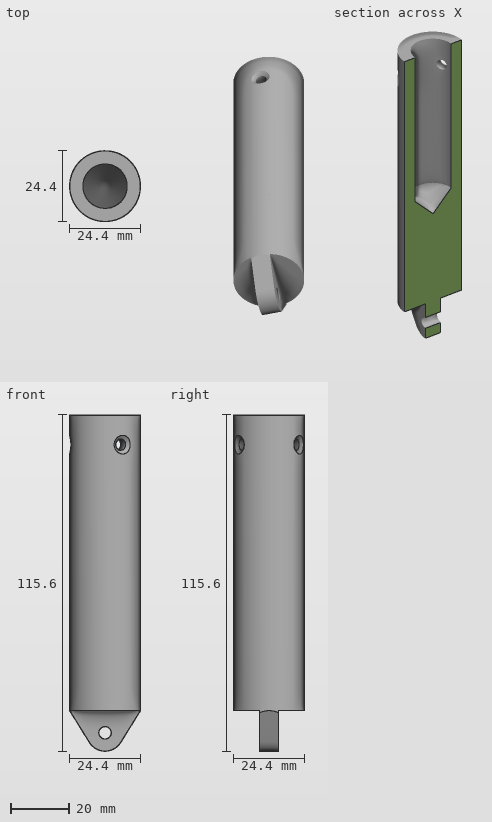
import cadquery as cq
import math

tube_diameter = 24.38
tube_radius = tube_diameter / 2
overall_length = 115.57
tab_length = 13.97
tube_length = overall_length - tab_length

bore_diameter = 15.24
bore_radius = bore_diameter / 2
bore_depth = 58.42
drill_point_angle = 90
drill_point_depth = bore_radius / math.tan(math.radians(drill_point_angle / 2))

screw_hole_diameter = 3.86
mouth_chamfer = 1.27
screw_hole_drop = 10.16
screw_hole_count = 3
first_screw_angle = 180

tab_thickness = 6.6
tab_tip_radius = 6.35
eye_diameter = 4.19
eye_drop = tab_length - tab_tip_radius


def make_tube():
    return cq.Workplane("XY").circle(tube_radius).extrude(tube_length)


def make_tab():
    """Rounded tab whose straight sides run from the tube wall tangent to the tip arc."""
    corner_to_eye = math.hypot(tube_radius, eye_drop)
    side_tilt = math.atan2(tube_radius, eye_drop) - math.asin(tab_tip_radius / corner_to_eye)
    tangent_x = tab_tip_radius * math.cos(side_tilt)
    tangent_z = -eye_drop - tab_tip_radius * math.sin(side_tilt)
    plate = (
        cq.Workplane("XZ")
        .moveTo(-tube_radius, 0)
        .lineTo(-tangent_x, tangent_z)
        .threePointArc((0, -tab_length), (tangent_x, tangent_z))
        .lineTo(tube_radius, 0)
        .close()
        .extrude(tab_thickness / 2, both=True)
    )
    eye = (
        cq.Workplane("XZ")
        .center(0, -eye_drop)
        .circle(eye_diameter / 2)
        .extrude(tab_thickness, both=True)
    )
    envelope = cq.Workplane("XY").circle(tube_radius).extrude(-tab_length)
    return plate.cut(eye).intersect(envelope)


def make_bore():
    """Bore and its conical end, as a half profile turned about the tube axis."""
    bore_end = tube_length - bore_depth
    return (
        cq.Workplane("XZ")
        .moveTo(0, tube_length)
        .lineTo(bore_radius, tube_length)
        .lineTo(bore_radius, bore_end)
        .lineTo(0, bore_end - drill_point_depth)
        .close()
        .revolve(360, (0, 0, 0), (0, 1, 0))
    )


def add_screw_hole(body, angle):
    """Radial hole from the tube axis outward, chamfered evenly where it leaves the tube wall."""
    hole_height = tube_length - screw_hole_drop
    direction = cq.Vector(math.cos(math.radians(angle)), math.sin(math.radians(angle)), 0)
    start = cq.Vector(0, 0, hole_height)
    drill = cq.Solid.makeCylinder(screw_hole_diameter / 2, tube_diameter, start, direction)
    mouth = (start + direction * tube_radius).toTuple()
    mouth_box = cq.selectors.BoxSelector(
        tuple(value - screw_hole_diameter for value in mouth),
        tuple(value + screw_hole_diameter for value in mouth),
        boundingbox=True,
    )
    return body.cut(cq.Workplane(drill)).edges(mouth_box).chamfer(mouth_chamfer)


result = make_tube().union(make_tab()).cut(make_bore())
for index in range(screw_hole_count):
    hole_angle = first_screw_angle + index * 360 / screw_hole_count
    result = add_screw_hole(result, hole_angle)